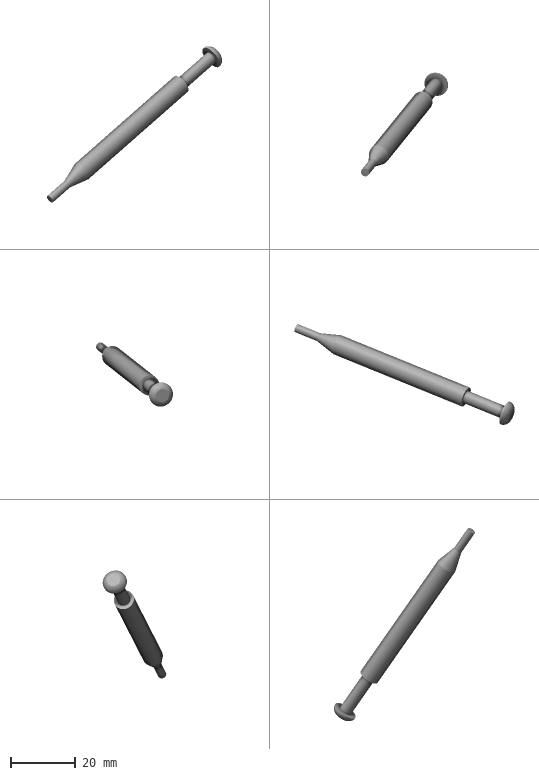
import cadquery as cq

total_length = 76.1

tip_radius = 2.7 / 2
tip_length = 7.9

cone_length = 6.6

body_radius = 6.4 / 2
body_length = 45.5

head_radius = 7.6 / 2
head_height = 2.2
rim_height = 0.5
head_flat_radius = 4.25 / 2
dome_bulge = 0.3

stem_radius = 4.0 / 2

tip_end = -total_length / 2
cone_start = tip_end + tip_length
body_start = cone_start + cone_length
body_end = body_start + body_length
head_top = total_length / 2
head_underside = head_top - head_height
rim_top = head_underside + rim_height

profile = (
    cq.Workplane("ZY")
    .moveTo(0, tip_end)
    .lineTo(tip_radius, tip_end)
    .lineTo(tip_radius, cone_start)
    .lineTo(body_radius, body_start)
    .lineTo(body_radius, body_end)
    .lineTo(stem_radius, body_end)
    .lineTo(stem_radius, head_underside)
    .lineTo(head_radius, head_underside)
    .lineTo(head_radius, rim_top)
    .sagittaArc((head_flat_radius, head_top), -dome_bulge)
    .lineTo(0, head_top)
    .close()
)

result = profile.revolve(360, (0, 0, 0), (0, 1, 0))